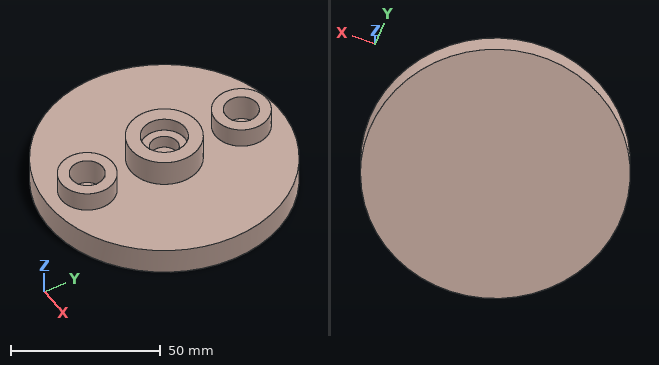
import cadquery as cq

disc_diameter = 90.0
disc_thickness = 10.0

bore_depth = 10.0

center_boss_diameter = 26.0
center_boss_height = 10.0
center_bore_diameter = 10.0
counterbore_diameter = 16.0
counterbore_depth = 5.0

side_boss_diameter = 20.0
side_boss_height = 7.5
side_boss_offset = 30.0
side_bore_diameter = 12.0


def cylinder(diameter, bottom, top, y=0.0):
    """Upright cylinder between two heights, centred on the Y axis at y."""
    return cq.Workplane("XY", origin=(0, y, bottom)).circle(diameter / 2).extrude(top - bottom)


def add_bored_boss(body, boss_diameter, boss_height, bore_diameter, y=0.0):
    """Raise a round boss on the disc and sink a blind bore into its top."""
    boss_top = disc_thickness + boss_height
    boss = cylinder(boss_diameter, disc_thickness, boss_top, y)
    bore = cylinder(bore_diameter, boss_top - bore_depth, boss_top, y)
    return body.union(boss).cut(bore)


result = cylinder(disc_diameter, 0, disc_thickness)

result = add_bored_boss(result, center_boss_diameter, center_boss_height, center_bore_diameter)
center_boss_top = disc_thickness + center_boss_height
result = result.cut(cylinder(counterbore_diameter, center_boss_top - counterbore_depth, center_boss_top))

for boss_y in (-side_boss_offset, side_boss_offset):
    result = add_bored_boss(result, side_boss_diameter, side_boss_height, side_bore_diameter, boss_y)